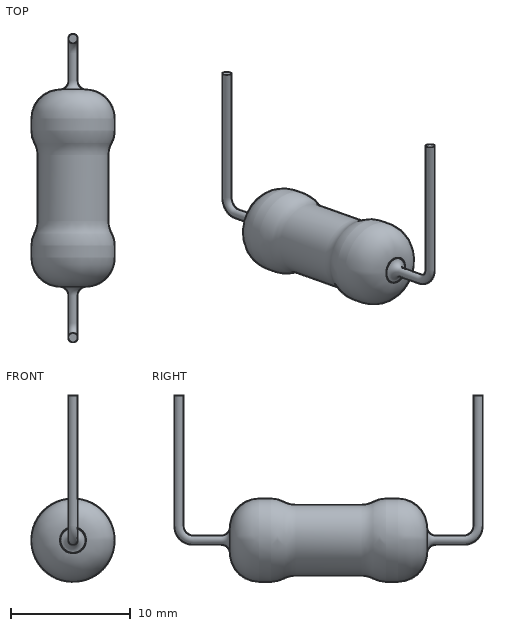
import cadquery as cq


overall_length = 25.8
lead_diameter = 0.8
lead_radius = lead_diameter / 2
lead_center_y = overall_length / 2 - lead_radius
bend_radius = 1.5 * lead_diameter
overall_height = 15.6

cap_diameter = 7.0
cap_radius = cap_diameter / 2
lead_top_z = overall_height - cap_radius
body_half_length = 8.25
cap_rounding = 2.45
cap_band_width = 1.0
meniscus_radius = 0.7

waist_diameter = 5.95
waist_radius = waist_diameter / 2
waist_half_length = 2.75

cap_outer_y = body_half_length - cap_rounding
cap_inner_y = cap_outer_y - cap_band_width
shoulder_mid_y = (cap_inner_y + waist_half_length) / 2
shoulder_mid_radius = (cap_radius + waist_radius) / 2
meniscus_end_y = body_half_length + meniscus_radius


def make_body_end():
    """Revolve the waist and the +Y end: S-shaped shoulder, rounded cap and meniscus."""
    profile = (
        cq.Workplane("XY")
        .moveTo(waist_radius, -waist_half_length)
        .lineTo(waist_radius, waist_half_length)
        .tangentArcPoint((shoulder_mid_radius, shoulder_mid_y), relative=False)
        .tangentArcPoint((cap_radius, cap_inner_y), relative=False)
        .lineTo(cap_radius, cap_outer_y)
        .tangentArcPoint((cap_radius - cap_rounding, body_half_length), relative=False)
        .lineTo(lead_radius + meniscus_radius, body_half_length)
        .radiusArc((lead_radius, meniscus_end_y), meniscus_radius)
        .lineTo(0, meniscus_end_y)
        .lineTo(0, -waist_half_length)
        .close()
    )
    return profile.revolve(360, (0, 0, 0), (0, 1, 0))


def make_leads():
    """One round wire running up, through the body and up again."""
    path = (
        cq.Workplane("YZ")
        .moveTo(-lead_center_y, lead_top_z)
        .lineTo(-lead_center_y, bend_radius)
        .tangentArcPoint((-lead_center_y + bend_radius, 0), relative=False)
        .lineTo(lead_center_y - bend_radius, 0)
        .tangentArcPoint((lead_center_y, bend_radius), relative=False)
        .lineTo(lead_center_y, lead_top_z)
    )
    return (
        cq.Workplane("XY", origin=(0, -lead_center_y, lead_top_z))
        .circle(lead_radius)
        .sweep(path)
    )


body_end = make_body_end()
body = body_end.union(body_end.mirror("XZ"))
result = body.union(make_leads())